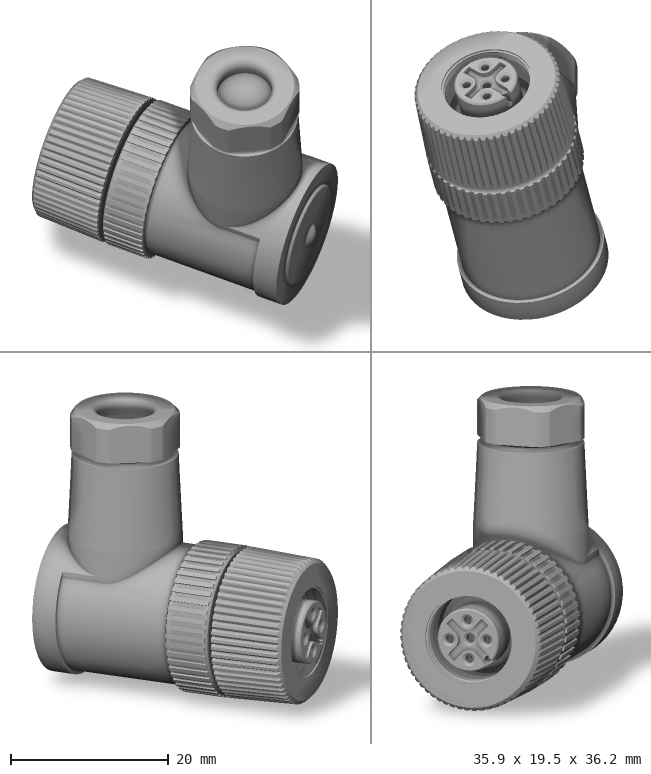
import cadquery as cq
import math


insert_dia = 8.15
rim_chamfer = 0.18
contact_circle_radius = 2.5
contact_twist = -2.5
contact_bore_dia = 1.1
contact_mouth_dia = 1.75
contact_mouth_depth = 0.25
contact_bore_depth = 1.45
contact_core_dia = 0.45
contact_core_depth = 2.0
cross_length = 6.8
cross_width = 1.15
cross_depth = 0.72
key_groove_dia = 1.15
key_groove_radius = 3.6
key_groove_depth = 2.17

nut_front = 0.55
nut_bevel_end = 1.05
nut_back = 9.95
nut_face_dia = 17.7
nut_front_dia = 18.67
nut_back_dia = 19.4
nut_teeth = 60
nut_groove_depth = 0.33
nut_groove_half_share = 0.3

socket_mouth_dia = 11.65
socket_mouth_depth = 0.25
thread_crest_dia = 11.2
thread_pitch = 1.0
thread_depth = 0.4
thread_turns = 4
socket_floor = 6.7
seat_front = 4.95
seat_dia = 9.9
seat_fillet = 0.87
seat_cone_start = 5.97

neck_dia = 13.0
ring_front = 10.6
ring_knurl_start = 10.85
ring_back = 16.2
ring_dia = 19.5
ring_root_dia = 19.0
ring_teeth = 50
collar_dia = 17.7

body_front = 16.58
body_dia = 18.0
cap_front = 31.63
cap_back = 34.85
cap_dia = 19.0
disc_back = 35.25
disc_dia = 13.5
disc_chamfer = 0.18
dome_dia = 3.05
overall_length = 35.9
pad_width = 14.62

outlet_x = 26.15
outlet_base_dia = 14.7
outlet_top_dia = 13.6
outlet_shoulder_z = cap_dia / 2
outlet_top_z = 20.52

clamp_bottom_z = 21.28
overall_height = 36.2
clamp_top_z = overall_height - ring_dia / 2
clamp_across_flats = 12.92
clamp_corner_dia = 13.95
clamp_corner_fillet = 0.9
clamp_chamfer = 0.7
clamp_thread_dia = 12.3
clamp_root_dia = 11.2
cable_hole_dia = 7.0
cable_mouth_dia = 8.9
cable_hole_depth = 1.95


def disc(dia, start, end):
    """Cylinder about the X axis."""
    return cq.Workplane("YZ", origin=(start, 0, 0)).circle(dia / 2).extrude(end - start)


def cone(start_dia, end_dia, start, end):
    """Truncated cone about the X axis."""
    outline = [(start, 0), (start, start_dia / 2), (end, end_dia / 2), (end, 0)]
    return cq.Workplane("XY").polyline(outline).close().revolve(360, (0, 0), (1, 0))


def toothed_outline(dia, teeth, depth, shape):
    """Closed outline whose teeth follow a list of (fraction of pitch, fraction of depth)."""
    points = []
    for tooth in range(teeth):
        for along, down in shape:
            angle = 2 * math.pi * (tooth + along) / teeth
            radius = dia / 2 - depth * down
            points.append((radius * math.cos(angle), radius * math.sin(angle)))
    return points


def coupling_nut():
    shape = [(-nut_groove_half_share, 0), (0, 1), (nut_groove_half_share, 0)]
    front = toothed_outline(nut_front_dia, nut_teeth, nut_groove_depth, shape)
    back = toothed_outline(nut_back_dia, nut_teeth, nut_groove_depth, shape)
    grip = (
        cq.Workplane("YZ", origin=(nut_front, 0, 0))
        .polyline(front).close()
        .workplane(offset=nut_back - nut_front)
        .polyline(back).close()
        .loft(ruled=True)
    )
    bevel = cone(nut_face_dia, nut_front_dia, nut_front, nut_bevel_end)
    return grip.intersect(bevel.union(disc(nut_back_dia, nut_bevel_end, nut_back)))


def thread_socket():
    """Space inside the coupling nut, with ring-shaped thread grooves."""
    socket = disc(thread_crest_dia, nut_front, socket_floor)
    socket = socket.union(disc(socket_mouth_dia, nut_front, nut_front + socket_mouth_depth))
    crest = thread_crest_dia / 2
    for turn in range(thread_turns):
        start = nut_front + socket_mouth_depth + turn * thread_pitch
        groove = [(start, 0), (start, crest), (start + thread_pitch / 2, crest + thread_depth),
                  (start + thread_pitch, crest), (start + thread_pitch, 0)]
        socket = socket.union(
            cq.Workplane("XY").polyline(groove).close().revolve(360, (0, 0), (1, 0))
        )
    return socket


def insert_seat():
    """Rounded shoulder around the insert that widens into a cone at the socket floor."""
    shoulder = disc(seat_dia, seat_front, socket_floor)
    shoulder = shoulder.faces("<X").edges().fillet(seat_fillet)
    return shoulder.union(cone(seat_dia, thread_crest_dia, seat_cone_start, socket_floor))


def contact_insert():
    insert = disc(insert_dia, 0, socket_floor).faces("<X").chamfer(rim_chamfer)
    face = cq.Workplane("YZ")
    contacts = [
        (contact_circle_radius * math.cos(math.radians(angle)),
         contact_circle_radius * math.sin(math.radians(angle)))
        for angle in range(0, 360, 90)
    ]
    cross = face.rect(cross_length, cross_width).extrude(cross_depth)
    cross = cross.union(face.rect(cross_width, cross_length).extrude(cross_depth))
    centre_size = contact_circle_radius * math.sqrt(2)
    boss_dia = centre_size - cross_width
    cross = cross.union(face.rect(centre_size, centre_size).extrude(cross_depth))
    cross = cross.rotate((0, 0, 0), (1, 0, 0), 45)
    cross = cross.cut(face.pushPoints(contacts).circle(boss_dia / 2).extrude(cross_depth))
    holes = face.pushPoints(contacts).circle(contact_bore_dia / 2).extrude(contact_bore_depth)
    holes = holes.union(face.pushPoints(contacts).circle(contact_core_dia / 2).extrude(contact_core_depth))
    mouth = cone(contact_mouth_dia, contact_bore_dia, 0, contact_mouth_depth)
    for y, z in contacts:
        holes = holes.union(mouth.translate((0, y, z)))
    holes = holes.union(mouth.translate((cross_depth, 0, 0)))
    holes = holes.union(disc(contact_bore_dia, cross_depth, cross_depth + contact_bore_depth))
    key = (
        face.center(-key_groove_radius * math.sqrt(0.5), -key_groove_radius * math.sqrt(0.5))
        .circle(key_groove_dia / 2).extrude(key_groove_depth)
    )
    cuts = cross.union(holes).rotate((0, 0, 0), (1, 0, 0), contact_twist)
    return insert.cut(cuts).cut(key)


def knurled_ring():
    shape = [(0, 0), (0.5, 0), (0.5, 1), (1, 1)]
    depth = (ring_dia - ring_root_dia) / 2
    outline = toothed_outline(ring_dia, ring_teeth, depth, shape)
    ring = (
        cq.Workplane("YZ", origin=(ring_knurl_start, 0, 0))
        .polyline(outline).close().extrude(ring_back - ring_knurl_start)
    )
    lead_in = ring_knurl_start - ring_front
    return ring.union(cone(ring_root_dia - 2 * lead_in, ring_root_dia, ring_front, ring_knurl_start))


def housing():
    body = disc(neck_dia, socket_floor, ring_front)
    body = body.union(disc(collar_dia, ring_back, body_front))
    body = body.union(disc(body_dia, body_front, cap_front))
    body = body.union(disc(cap_dia, cap_front, cap_back))
    pad_limit = cq.Workplane("XY", origin=(outlet_x, 0, 0)).rect(
        2 * (cap_front - outlet_x), pad_width).extrude(cap_dia / 2)
    body = body.union(disc(cap_dia, outlet_x, cap_front).intersect(pad_limit))
    body = body.union(disc(disc_dia, cap_back, disc_back).faces(">X").chamfer(disc_chamfer))
    dome_height = overall_length - disc_back
    dome_radius = (dome_dia ** 2 / 4 + dome_height ** 2) / (2 * dome_height)
    dome = (
        cq.Workplane("XY").moveTo(disc_back, 0).lineTo(disc_back, dome_dia / 2)
        .radiusArc((overall_length, 0), dome_radius)
        .close().revolve(360, (0, 0), (1, 0))
    )
    return body.union(dome)


def cable_outlet():
    base = outlet_base_dia / 2
    outline = [(0, 0), (base, 0), (base, outlet_shoulder_z), (outlet_top_dia / 2, outlet_top_z),
               (clamp_thread_dia / 2, outlet_top_z),
               (clamp_root_dia / 2, (outlet_top_z + clamp_bottom_z) / 2),
               (clamp_thread_dia / 2, clamp_bottom_z), (0, clamp_bottom_z)]
    outlet = cq.Workplane("XZ").polyline(outline).close().revolve(360, (0, 0), (0, 1))
    return outlet.translate((outlet_x, 0, 0))


def clamp_nut():
    height = clamp_top_z - clamp_bottom_z
    start = cq.Workplane("XY", origin=(outlet_x, 0, clamp_bottom_z))
    hexagon_corners = clamp_across_flats / math.cos(math.pi / 6)
    hexagon = start.transformed(rotate=(0, 0, 30)).polygon(6, hexagon_corners).extrude(height)
    blank = start.circle(clamp_corner_dia / 2).extrude(height)
    nut = hexagon.intersect(blank).edges("|Z").fillet(clamp_corner_fillet)
    nut = nut.intersect(blank.faces(">Z").chamfer(clamp_chamfer))
    top = cq.Workplane("XY", origin=(outlet_x, 0, clamp_top_z))
    nut = nut.cut(top.circle(cable_hole_dia / 2).extrude(-cable_hole_depth))
    hole_edge = cq.selectors.RadiusNthSelector(0)
    return nut.faces(">Z").edges(hole_edge).fillet((cable_mouth_dia - cable_hole_dia) / 2)


front_end = coupling_nut().cut(thread_socket()).union(insert_seat()).union(contact_insert())
rear_end = housing().union(knurled_ring()).union(cable_outlet()).union(clamp_nut())
result = front_end.union(rear_end)